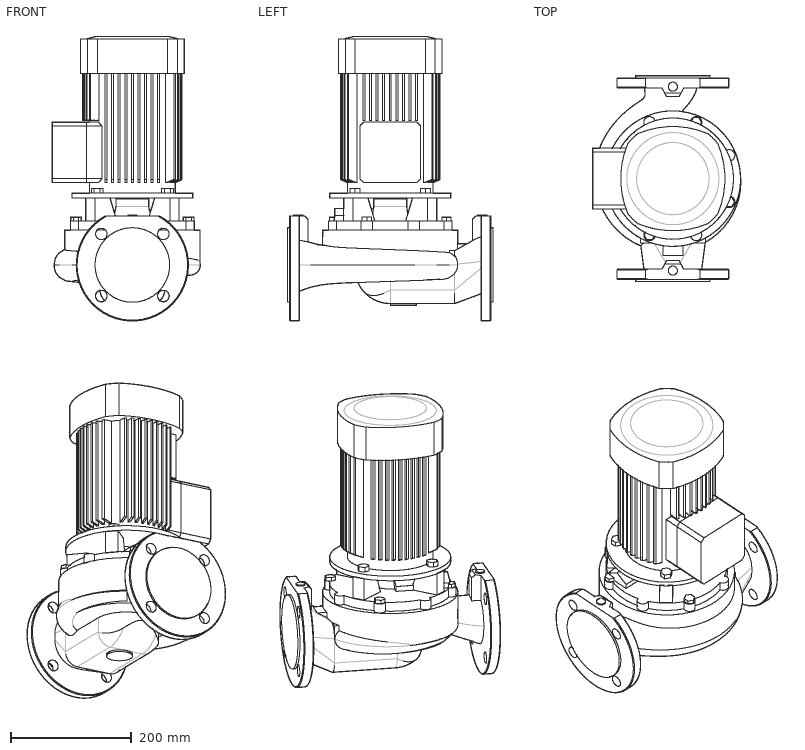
import cadquery as cq
import math

FACE_TO_FACE = 340.0
TOP_Z = 378.0
DIAGONALS = (45, 135, 225, 315)

FLANGE_RADIUS = 92.5
FLANGE_BACK_Y = 149.5
FLANGE_FRONT_Y = 166.5
FLANGE_EDGE_CHAMFER = 1.5
FLANGE_FLAT_Z = 81.0
RAISED_FACE_RADIUS = 61.5
FLANGE_BOLT_CIRCLE_RADIUS = 72.5
FLANGE_HOLE_DIAMETER = 19.0
PAD_BACK_Y = 135.5
PAD_CHAMFER = 5.5
PAD_ROOT_HALF_WIDTH = 18.0
PAD_TIP_HALF_WIDTH = 10.5
PLUG_RADIUS = 7.5
PLUG_HEIGHT = 2.0
PLUG_Y = 152.0

RIM_RADIUS = 112.0
RIM_TOP_Z = 57.5
VOLUTE_START = -60
VOLUTE_END = 225
VOLUTE_STEP = 28.5
VOLUTE_TUBE_RADIUS = 16.5
VOLUTE_TUBE_GROWTH = 11.0
VOLUTE_CENTER_RADIUS = 96.0
VOLUTE_CENTER_GROWTH = 6.0
OUTLET_BEND = (-11.5, 128.5)
OUTLET_BEND_HEADING = 78
OUTLET_BEND_RADIUS = 36.0
OUTLET_NECK_X = -3.8
OUTLET_NECK_RADIUS = 43.5
SUCTION_HALF_WIDTH = 53.5
SUCTION_BOTTOM_Z = -64.0
SUCTION_TOP_Z = 23.5
SUCTION_CORNER_RADIUS = 22.5
SUCTION_STRAIGHT_END_Y = -106.5
SUCTION_NECK_HALF_WIDTH = 48.0
SUCTION_NECK_CORNER_RADIUS = 42.5
BOWL_RADIUS = 58.5
FOOT_RADIUS = 21.5
FOOT_CENTER_Y = -21.5
FOOT_HEIGHT = 3.0
WEB_HALF_WIDTH = 16.5
WEB_TOP_Z = 35.5

COVER_RADIUS = 100.0
COVER_TOP_Z = 73.0
LUG_COUNT = 8
LUG_CIRCLE_RADIUS = 100.5
LUG_RADIUS = 9.5
COVER_BOLT_CORNERS = 18.0
COVER_BOLT_HEIGHT = 6.0
LEG_THICKNESS = 21.5
LEG_OUTER_RADIUS = 98.5
LEG_INNER_RADIUS_TOP = 62.5
LEG_INNER_RADIUS_BOTTOM = 47.0
HUB_TOP_Z = 109.0
HUB_SHOULDER_Z = 97.0
HUB_RADIUS = 27.5
HUB_FOOT_RADIUS = 31.5
VENT_X = 23.5
VENT_Z = 69.0
VENT_CORNERS = 49.0
VENT_END_Y = 91.7

MOTOR_FLANGE_RADIUS = 100.0
MOTOR_FLANGE_BOTTOM_Z = 110.5
MOTOR_FLANGE_TOP_Z = 118.5
MOTOR_BOLT_CIRCLE_RADIUS = 82.5
MOTOR_BOLT_CORNERS = 19.5
MOTOR_BOLT_HEIGHT = 8.0
MOTOR_RADIUS = 71.0
FIN_TIP_RADIUS = 82.5
FIN_THICKNESS = 3.5
FIN_PITCH = 11.0
FINS_PER_SIDE = 9
FIN_BOTTOM_Z = 136.0
FIN_TIP_BOTTOM_Z = 141.0
SHORT_FIN_BOTTOM_Z = 239.0
FAN_COVER_BOTTOM_Z = 316.0
FAN_COVER_TOP_Z = 373.5
FAN_COVER_HALF_WIDTH = 86.0
FAN_COVER_CORNER_NEAR = 58.0
FAN_COVER_CORNER_FAR = 74.5
DOME_BASE_RADIUS = 76.0
DOME_TOP_RADIUS = 59.8

BOX_OUTER_X = -132.5
BOX_SPLIT_X = -75.8
BOX_HALF_WIDTH = 50.5
BOX_BOTTOM_Z = 136.0
BOX_TOP_Z = 236.0
BOX_CHAMFER = 6.5


def cylinder(radius, bottom, top, x=0, y=0):
    return cq.Workplane("XY", origin=(x, y, bottom)).circle(radius).extrude(top - bottom)


def hex_head(corners, height, circle_radius, angle, bottom):
    """Hexagon bolt head standing on a bolt circle."""
    x = circle_radius * math.cos(math.radians(angle))
    y = circle_radius * math.sin(math.radians(angle))
    return cq.Workplane("XY", origin=(x, y, bottom)).polygon(6, corners).extrude(height)


def pipe_flange():
    """Flange at the +Y port: flat top, raised face, four holes and a plugged tapping in a pad."""
    thickness = FLANGE_FRONT_Y - FLANGE_BACK_Y
    flange = (
        cq.Workplane("XZ", origin=(0, FLANGE_FRONT_Y, 0))
        .circle(FLANGE_RADIUS)
        .extrude(thickness)
        .edges()
        .chamfer(FLANGE_EDGE_CHAMFER)
    )
    raised_face = (
        cq.Workplane("XZ", origin=(0, FACE_TO_FACE / 2, 0))
        .circle(RAISED_FACE_RADIUS)
        .extrude(FACE_TO_FACE / 2 - FLANGE_BACK_Y)
    )
    above_flat = cylinder(2 * FLANGE_RADIUS, FLANGE_FLAT_Z, 2 * FLANGE_RADIUS)
    hole_offset = FLANGE_BOLT_CIRCLE_RADIUS * math.cos(math.radians(45))
    holes = (
        cq.Workplane("XZ", origin=(0, FACE_TO_FACE / 2, 0))
        .rect(2 * hole_offset, 2 * hole_offset, forConstruction=True)
        .vertices()
        .circle(FLANGE_HOLE_DIAMETER / 2)
        .extrude(FACE_TO_FACE / 2 - PAD_BACK_Y)
    )
    pad = (
        cq.Workplane("XY")
        .polyline([
            (-PAD_ROOT_HALF_WIDTH, FLANGE_BACK_Y),
            (-PAD_TIP_HALF_WIDTH, PAD_BACK_Y),
            (PAD_TIP_HALF_WIDTH, PAD_BACK_Y),
            (PAD_ROOT_HALF_WIDTH, FLANGE_BACK_Y),
        ])
        .close()
        .extrude(FLANGE_FLAT_Z)
        .faces("<Y")
        .edges(">Z")
        .chamfer(PAD_CHAMFER)
    )
    plug = cylinder(PLUG_RADIUS, 0, FLANGE_FLAT_Z + PLUG_HEIGHT, y=PLUG_Y)
    return flange.union(raised_face).cut(above_flat).cut(holes).union(pad).union(plug)


def tube_section(x, y, heading, radius):
    """Upright circle at (x, y), square to a horizontal heading in degrees."""
    direction = cq.Vector(math.cos(math.radians(heading)), math.sin(math.radians(heading)), 0)
    return cq.Wire.makeCircle(radius, cq.Vector(x, y, 0), direction)


def volute():
    """Growing spiral tube, clockwise from above, which runs out into the +Y port."""
    sections = []
    for step in range(round((VOLUTE_END - VOLUTE_START) / VOLUTE_STEP) + 1):
        travel = VOLUTE_START + step * VOLUTE_STEP
        half_turns = travel / 180
        center = VOLUTE_CENTER_RADIUS + VOLUTE_CENTER_GROWTH * half_turns
        x = center * math.cos(math.radians(travel))
        y = -center * math.sin(math.radians(travel))
        radius = VOLUTE_TUBE_RADIUS + VOLUTE_TUBE_GROWTH * half_turns
        sections.append(tube_section(x, y, -travel - 90, radius))
    sections.append(tube_section(*OUTLET_BEND, OUTLET_BEND_HEADING, OUTLET_BEND_RADIUS))
    sections.append(tube_section(OUTLET_NECK_X, FLANGE_BACK_Y, 90, OUTLET_NECK_RADIUS))
    return cq.Workplane(cq.Solid.makeLoft(sections))


def rounded_rectangle(half_width, height, corner_radius):
    return cq.Sketch().rect(2 * half_width, height).vertices().fillet(corner_radius)


def suction_channel():
    """Straight channel under the casing, curving up into a round-ended bowl at its +Y end."""
    channel = (
        cq.Workplane("YZ")
        .moveTo(SUCTION_STRAIGHT_END_Y, SUCTION_TOP_Z)
        .lineTo(SUCTION_STRAIGHT_END_Y, SUCTION_BOTTOM_Z)
        .lineTo(0, SUCTION_BOTTOM_Z)
        .radiusArc((BOWL_RADIUS, SUCTION_BOTTOM_Z + BOWL_RADIUS), -BOWL_RADIUS)
        .lineTo(BOWL_RADIUS, SUCTION_TOP_Z)
        .close()
        .extrude(SUCTION_HALF_WIDTH, both=True)
        .faces("<X or >X")
        .edges("<Z")
        .fillet(SUCTION_CORNER_RADIUS)
    )
    round_end = (
        cq.Workplane("XY", origin=(0, 0, SUCTION_BOTTOM_Z))
        .moveTo(-SUCTION_HALF_WIDTH, SUCTION_STRAIGHT_END_Y)
        .lineTo(SUCTION_HALF_WIDTH, SUCTION_STRAIGHT_END_Y)
        .lineTo(SUCTION_HALF_WIDTH, 0)
        .threePointArc((0, SUCTION_HALF_WIDTH), (-SUCTION_HALF_WIDTH, 0))
        .close()
        .extrude(SUCTION_TOP_Z - SUCTION_BOTTOM_Z)
    )
    return channel.intersect(round_end)


def suction_neck():
    """Rounded transition from the channel up to the -Y flange."""
    channel_height = SUCTION_TOP_Z - SUCTION_BOTTOM_Z
    channel_end = rounded_rectangle(SUCTION_HALF_WIDTH, channel_height, SUCTION_CORNER_RADIUS)
    neck_end = rounded_rectangle(
        SUCTION_NECK_HALF_WIDTH, 2 * SUCTION_NECK_HALF_WIDTH, SUCTION_NECK_CORNER_RADIUS
    )
    channel_middle_z = (SUCTION_TOP_Z + SUCTION_BOTTOM_Z) / 2
    neck_length = FLANGE_BACK_Y + SUCTION_STRAIGHT_END_Y
    return (
        cq.Workplane("XZ", origin=(0, SUCTION_STRAIGHT_END_Y, 0))
        .placeSketch(
            channel_end.moved(cq.Location(cq.Vector(0, channel_middle_z, 0))),
            neck_end.moved(cq.Location(cq.Vector(0, 0, neck_length))),
        )
        .loft()
    )


def suction_passage():
    """Passage from the -Y port, down under the casing to a bowl below the motor axis."""
    foot = cylinder(FOOT_RADIUS, SUCTION_BOTTOM_Z - FOOT_HEIGHT, 0, y=FOOT_CENTER_Y)
    return suction_channel().union(suction_neck()).union(foot)


def inlet_web():
    """Short rib that ties the rim to the -Y flange."""
    return cq.Workplane("XY").box(
        2 * WEB_HALF_WIDTH, FLANGE_BACK_Y, WEB_TOP_Z, centered=(True, False, False)
    ).translate((0, -FLANGE_BACK_Y, 0))


def make_casing():
    """Solid casing with the spiral volute, the suction passage and both pipe flanges."""
    rim = cylinder(RIM_RADIUS, 0, RIM_TOP_Z)
    floor = cylinder(VOLUTE_CENTER_RADIUS, -VOLUTE_TUBE_RADIUS, 0)
    outlet_flange = pipe_flange()
    inlet_flange = outlet_flange.mirror("XZ")
    casing = rim.union(floor).union(volute()).union(suction_passage()).union(inlet_web())
    return casing.union(outlet_flange).union(inlet_flange)


def lantern_leg(angle):
    """Radial leg, wider at its foot, from the cover up to the motor flange."""
    return (
        cq.Workplane("XZ")
        .polyline([
            (LEG_INNER_RADIUS_BOTTOM, COVER_TOP_Z),
            (LEG_OUTER_RADIUS, COVER_TOP_Z),
            (LEG_OUTER_RADIUS, MOTOR_FLANGE_BOTTOM_Z),
            (LEG_INNER_RADIUS_TOP, MOTOR_FLANGE_BOTTOM_Z),
        ])
        .close()
        .extrude(LEG_THICKNESS / 2, both=True)
        .rotate((0, 0, 0), (0, 0, 1), angle)
    )


def make_lantern():
    """Cover with bolt lugs, four legs, the shaft hub and the vent plug."""
    lantern = cylinder(COVER_RADIUS, RIM_TOP_Z, COVER_TOP_Z)
    for index in range(LUG_COUNT):
        angle = (index + 0.5) * 360 / LUG_COUNT
        x = LUG_CIRCLE_RADIUS * math.cos(math.radians(angle))
        y = LUG_CIRCLE_RADIUS * math.sin(math.radians(angle))
        lantern = lantern.union(cylinder(LUG_RADIUS, RIM_TOP_Z, COVER_TOP_Z, x, y))
        if index % 2 == 1:
            lantern = lantern.union(
                hex_head(COVER_BOLT_CORNERS, COVER_BOLT_HEIGHT, LUG_CIRCLE_RADIUS, angle, COVER_TOP_Z)
            )
    for angle in DIAGONALS:
        lantern = lantern.union(lantern_leg(angle))
    hub = (
        cq.Workplane("XZ")
        .polyline([
            (0, COVER_TOP_Z),
            (HUB_FOOT_RADIUS, COVER_TOP_Z),
            (HUB_RADIUS, HUB_SHOULDER_Z),
            (HUB_RADIUS, HUB_TOP_Z),
            (0, HUB_TOP_Z),
        ])
        .close()
        .revolve(360, (0, 0, 0), (0, 1, 0))
    )
    above_cover = cylinder(COVER_RADIUS, RIM_TOP_Z, MOTOR_FLANGE_BOTTOM_Z)
    vent = (
        cq.Workplane("XZ", origin=(VENT_X, VENT_END_Y, VENT_Z))
        .polygon(6, VENT_CORNERS)
        .extrude(VENT_END_Y)
        .rotate((VENT_X, 0, VENT_Z), (VENT_X, 1, VENT_Z), 90)
        .intersect(above_cover)
    )
    return lantern.union(hub).union(vent)


def fin_bank(angle, bottom, bevelled):
    """Parallel fins on one side of the motor, with tips on a common cylinder."""
    fins = cq.Workplane("XY")
    for index in range(FINS_PER_SIDE):
        offset = (index - (FINS_PER_SIDE - 1) / 2) * FIN_PITCH
        fins = fins.union(
            cq.Workplane("XY")
            .box(FIN_TIP_RADIUS, FIN_THICKNESS, FAN_COVER_BOTTOM_Z - bottom, centered=(False, True, False))
            .translate((0, offset, bottom))
        )
    tip_bottom = FIN_TIP_BOTTOM_Z if bevelled else bottom
    envelope = (
        cq.Workplane("XZ")
        .polyline([
            (0, bottom),
            (MOTOR_RADIUS, bottom),
            (FIN_TIP_RADIUS, tip_bottom),
            (FIN_TIP_RADIUS, FAN_COVER_BOTTOM_Z),
            (0, FAN_COVER_BOTTOM_Z),
        ])
        .close()
        .revolve(360, (0, 0, 0), (0, 1, 0))
    )
    return fins.intersect(envelope).rotate((0, 0, 0), (0, 0, 1), angle)


def fan_cover():
    """Bulged square cap with rounded corners and a low conical crown."""
    near = FAN_COVER_CORNER_NEAR
    far = FAN_COVER_CORNER_FAR
    side = FAN_COVER_HALF_WIDTH
    corner = math.hypot(near, far) * math.cos(math.radians(45))
    skirt = (
        cq.Workplane("XY", origin=(0, 0, FAN_COVER_BOTTOM_Z))
        .moveTo(far, -near)
        .threePointArc((side, 0), (far, near))
        .threePointArc((corner, corner), (near, far))
        .threePointArc((0, side), (-near, far))
        .threePointArc((-corner, corner), (-far, near))
        .threePointArc((-side, 0), (-far, -near))
        .threePointArc((-corner, -corner), (-near, -far))
        .threePointArc((0, -side), (near, -far))
        .threePointArc((corner, -corner), (far, -near))
        .close()
        .extrude(FAN_COVER_TOP_Z - FAN_COVER_BOTTOM_Z)
    )
    crown = (
        cq.Workplane("XY", origin=(0, 0, FAN_COVER_TOP_Z))
        .circle(DOME_BASE_RADIUS)
        .workplane(offset=TOP_Z - FAN_COVER_TOP_Z)
        .circle(DOME_TOP_RADIUS)
        .loft()
    )
    return skirt.union(crown)


def box_block(x_from, x_to):
    """Length of the terminal box outline along X, chamfered on its four long edges."""
    return (
        cq.Workplane("XY")
        .box(x_to - x_from, 2 * BOX_HALF_WIDTH, BOX_TOP_Z - BOX_BOTTOM_Z, centered=(False, True, False))
        .edges("|X")
        .chamfer(BOX_CHAMFER)
        .translate((x_from, 0, BOX_BOTTOM_Z))
    )


def make_motor():
    """Flanged and finned motor with its bolts, fan cover and the base of the terminal box."""
    motor = cylinder(MOTOR_FLANGE_RADIUS, MOTOR_FLANGE_BOTTOM_Z, MOTOR_FLANGE_TOP_Z)
    motor = motor.union(cylinder(MOTOR_RADIUS, MOTOR_FLANGE_TOP_Z, FAN_COVER_BOTTOM_Z))
    for angle in DIAGONALS:
        motor = motor.union(
            hex_head(
                MOTOR_BOLT_CORNERS, MOTOR_BOLT_HEIGHT, MOTOR_BOLT_CIRCLE_RADIUS, angle, MOTOR_FLANGE_TOP_Z
            )
        )
    for angle in (0, 90, 270):
        motor = motor.union(fin_bank(angle, FIN_BOTTOM_Z, bevelled=True))
    motor = motor.union(fin_bank(180, SHORT_FIN_BOTTOM_Z, bevelled=False))
    return motor.union(fan_cover()).union(box_block(BOX_SPLIT_X, 0))


def make_terminal_box_lid():
    """Outer part of the terminal box, flush with its base."""
    return box_block(BOX_OUTER_X, BOX_SPLIT_X)


casing = make_casing()
lantern = make_lantern()
motor = make_motor()
terminal_box_lid = make_terminal_box_lid()

result = cq.Compound.makeCompound(
    [casing.val(), lantern.val(), motor.val(), terminal_box_lid.val()]
)